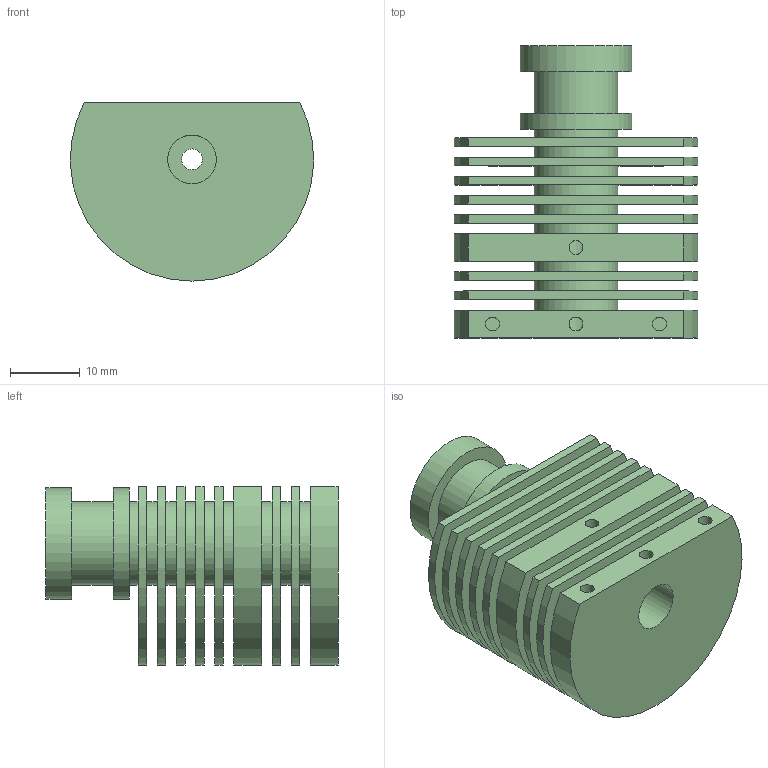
import cadquery as cq

DISC_RADIUS = 17.5
FLAT_HEIGHT = 8.125
THICK_PLATE = 4.0
THIN_FIN = 1.25
FIN_GAP = 1.5
FINS_BEFORE_MIDDLE = 2
FINS_AFTER_MIDDLE = 5

TOTAL_LENGTH = 42.0
CORE_DIAMETER = 12.0
COLLAR_DIAMETER = 16.0
END_COLLAR_LENGTH = 3.7
NECK_GROOVE_LENGTH = 6.0
INNER_COLLAR_LENGTH = 2.3

BORE_DIAMETER = 3.0
SOCKET_DIAMETER = 7.0
SCREW_HOLE_DIAMETER = 2.0
SCREW_HOLE_DEPTH = FLAT_HEIGHT
SCREW_HOLE_SPACING = 12.0


def cylinder(diameter, y_start, length):
    """Round bar on the Y axis, running from y_start toward +Y."""
    plane = cq.Workplane("XZ", origin=(0, y_start, 0))
    return plane.circle(diameter / 2).extrude(-length)


def flat_disc(y_start, thickness):
    """Disc on the Y axis with its top cut off level with the flat."""
    disc = cylinder(2 * DISC_RADIUS, y_start, thickness)
    keep_height = DISC_RADIUS + FLAT_HEIGHT
    below_flat = cq.Workplane("XY", origin=(0, y_start, -DISC_RADIUS)).box(
        2 * DISC_RADIUS, thickness, keep_height, centered=(True, False, False)
    )
    return disc.intersect(below_flat)


def screw_hole(x, y):
    """Blind hole drilled straight down from the flat."""
    plane = cq.Workplane("XY", origin=(x, y, FLAT_HEIGHT))
    return plane.circle(SCREW_HOLE_DIAMETER / 2).extrude(-SCREW_HOLE_DEPTH)


body = cylinder(CORE_DIAMETER, 0, TOTAL_LENGTH)
end_collar_start = TOTAL_LENGTH - END_COLLAR_LENGTH
inner_collar_start = end_collar_start - NECK_GROOVE_LENGTH - INNER_COLLAR_LENGTH
body = body.union(cylinder(COLLAR_DIAMETER, end_collar_start, END_COLLAR_LENGTH))
body = body.union(cylinder(COLLAR_DIAMETER, inner_collar_start, INNER_COLLAR_LENGTH))

thicknesses = (
    [THICK_PLATE]
    + [THIN_FIN] * FINS_BEFORE_MIDDLE
    + [THICK_PLATE]
    + [THIN_FIN] * FINS_AFTER_MIDDLE
)
disc_start = 0
for thickness in thicknesses:
    body = body.union(flat_disc(disc_start, thickness))
    disc_start += thickness + FIN_GAP

middle_plate_start = THICK_PLATE + FIN_GAP + FINS_BEFORE_MIDDLE * (THIN_FIN + FIN_GAP)
socket_depth = middle_plate_start + THICK_PLATE
body = body.cut(cylinder(BORE_DIAMETER, 0, TOTAL_LENGTH))
body = body.cut(cylinder(SOCKET_DIAMETER, 0, socket_depth))

front_hole_y = THICK_PLATE / 2
middle_hole_y = middle_plate_start + THICK_PLATE / 2
for x in (-SCREW_HOLE_SPACING, 0, SCREW_HOLE_SPACING):
    body = body.cut(screw_hole(x, front_hole_y))
body = body.cut(screw_hole(0, middle_hole_y))

result = body